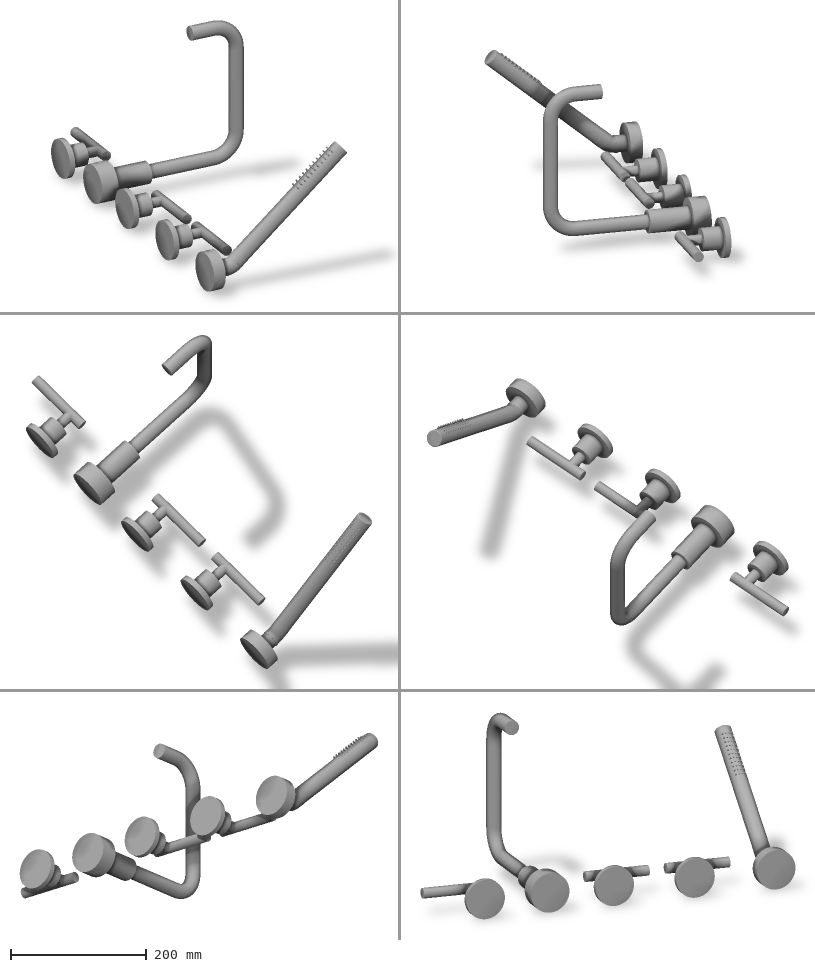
import cadquery as cq
import math

flange_dia = 60.32
spout_x = 0.0
near_pitch = 101.6
far_pitch = 127.0
left_handle_x = spout_x - near_pitch
middle_handle_x = spout_x + near_pitch
right_handle_x = middle_handle_x + far_pitch
shower_x = right_handle_x + far_pitch

handle_flange_thick = 8.6
hub_dia = 34.92
hub_top_y = 37.8
lever_dia = 15.88
lever_axis_y = 63.9
lever_long_reach = 75.92
lever_short_reach = 23.5

spout_flange_thick = 27.4
sleeve_dia = 34.92
sleeve_top_y = 90.3
tube_dia = 22.22
bend_radius = 38.1
riser_axis_y = 250.23 - tube_dia / 2
outlet_axis_z = 209.55
outlet_face_y = 161.9

shower_flange_thick = 19.05
neck_dia = 25.4
collar_dia = 26.6
collar_start_y = 32.6
collar_end_y = 36.0
tilt_angle = 40.0
pivot_y = 42.8
socket_dia = 25.9
socket_start = 9.6
wand_start = 23.6

wand_dia = 25.4
wand_end = 240.0
wand_end_chamfer = 0.8
nozzle_rows = 11
nozzle_columns = 4
nozzle_row_pitch = 7.33
nozzle_column_pitch = 4.75
nozzle_dia = 2.5
nozzle_protrusion = 1.5
first_nozzle_inset = 15.0


def rod(diameter, start_y, end_y):
    """Round bar along +Y centred on x = 0, z = 0."""
    return (
        cq.Workplane("XZ", origin=(0, start_y, 0))
        .circle(diameter / 2)
        .extrude(-(end_y - start_y))
    )


def make_handle(lever_side):
    """Flange, hub, stem and lever; lever_side is +1 or -1 for the long end's X direction."""
    flange = rod(flange_dia, 0, handle_flange_thick)
    hub = rod(hub_dia, handle_flange_thick, hub_top_y)
    stem = rod(lever_dia, hub_top_y, lever_axis_y)
    lever = (
        cq.Workplane("YZ", origin=(-lever_side * lever_short_reach, lever_axis_y, 0))
        .circle(lever_dia / 2)
        .extrude(lever_side * (lever_short_reach + lever_long_reach))
    )
    return flange.union(hub).union(stem).union(lever)


def make_spout():
    """Flange and sleeve carrying a tube that runs out, up and back toward the wall."""
    flange = rod(flange_dia, 0, spout_flange_thick)
    sleeve = rod(sleeve_dia, spout_flange_thick, sleeve_top_y)
    diagonal = bend_radius * math.sqrt(0.5)
    bend_center_y = riser_axis_y - bend_radius
    upper_bend_z = outlet_axis_z - bend_radius
    path = (
        cq.Workplane("YZ")
        .moveTo(sleeve_top_y, 0)
        .lineTo(bend_center_y, 0)
        .threePointArc(
            (bend_center_y + diagonal, bend_radius - diagonal),
            (riser_axis_y, bend_radius),
        )
        .lineTo(riser_axis_y, upper_bend_z)
        .threePointArc(
            (bend_center_y + diagonal, upper_bend_z + diagonal),
            (bend_center_y, outlet_axis_z),
        )
        .lineTo(outlet_face_y, outlet_axis_z)
    )
    tube = cq.Workplane("XZ", origin=(0, sleeve_top_y, 0)).circle(tube_dia / 2).sweep(path)
    return flange.union(sleeve).union(tube)


def tilt(body):
    """Move a body built along +Y from the origin onto the wand axis."""
    return body.rotate((0, 0, 0), (1, 0, 0), tilt_angle).translate((0, pivot_y, 0))


def make_shower_holder():
    """Flange, neck, collar and an elbow that turns up to the socket under the wand."""
    flange = rod(flange_dia, 0, shower_flange_thick)
    neck = rod(neck_dia, shower_flange_thick, collar_start_y)
    collar = rod(collar_dia, collar_start_y, collar_end_y)
    tangent_length = pivot_y - collar_end_y
    elbow_radius = tangent_length / math.tan(math.radians(tilt_angle / 2))
    elbow = (
        cq.Workplane("XZ", origin=(0, collar_end_y, 0))
        .circle(neck_dia / 2)
        .revolve(tilt_angle, (-1, elbow_radius), (1, elbow_radius))
    )
    tilted_neck = tilt(rod(neck_dia, tangent_length, socket_start))
    socket = tilt(rod(socket_dia, socket_start, wand_start))
    return flange.union(neck).union(collar).union(elbow).union(tilted_neck).union(socket)


def make_wand():
    """Straight round wand with a grid of spray nozzles on its upper side near the end."""
    wand = rod(wand_dia, wand_start, wand_end).faces(">Y").chamfer(wand_end_chamfer)
    nozzle_field_center = wand_end - first_nozzle_inset - nozzle_row_pitch * (nozzle_rows - 1) / 2
    nozzles = (
        cq.Workplane("XY", origin=(0, nozzle_field_center, 0))
        .rarray(nozzle_column_pitch, nozzle_row_pitch, nozzle_columns, nozzle_rows)
        .circle(nozzle_dia / 2)
        .extrude(wand_dia / 2 + nozzle_protrusion)
    )
    return tilt(wand.union(nozzles))


handles = [
    make_handle(side).translate((x, 0, 0))
    for x, side in ((left_handle_x, -1), (middle_handle_x, 1), (right_handle_x, 1))
]
spout = make_spout().translate((spout_x, 0, 0))
shower_holder = make_shower_holder().translate((shower_x, 0, 0))
wand = make_wand().translate((shower_x, 0, 0))

result = cq.Compound.makeCompound(
    [handle.val() for handle in handles] + [spout.val(), shower_holder.val(), wand.val()]
)